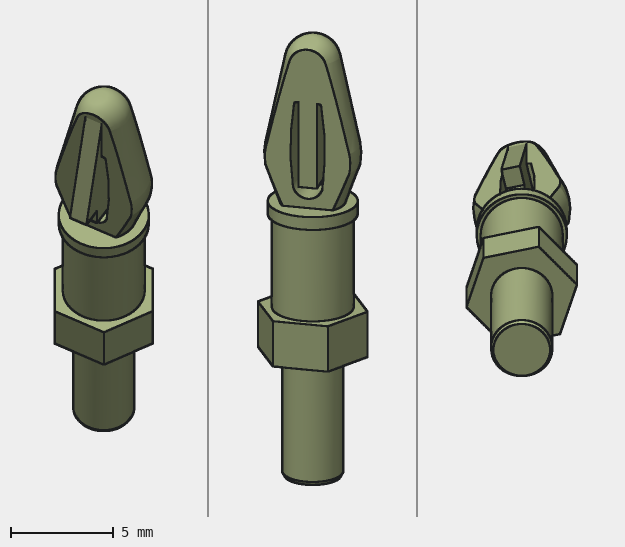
import cadquery as cq
import math

total_height = 23.05
hex_bottom = 6.43
hex_top = 8.8
collar_bottom = 13.66
collar_top = 14.33

pin_diameter = 3.0
pin_chamfer_height = 0.2
pin_chamfer_width = 0.12
hex_across_corners = 5.53
barrel_diameter = 4.0
collar_diameter = 4.4

blade_thickness = 2.0
dome_radius = 1.38
dome_seam_height = 21.93
neck_radius = 1.61
bulge_seam_radius = 2.33
bulge_radius = 2.37
bulge_bottom = 16.34
bulge_top = 17.33

slot_bottom = 14.81
slot_shoulder = 15.4
slot_shoulder_half_width = 0.74
slot_middle = 17.05
slot_middle_half_width = 0.865
slot_top = 19.81
slot_top_half_width = 0.67
slot_corner_radius = 0.14

tongue_width = 0.92
tongue_top = 22.19
tongue_reach = 2.5
tongue_ledge = 16.27
tongue_tip = 15.4
tongue_tip_reach = 1.47

blade_front = -blade_thickness / 2
blade_back = blade_thickness / 2


def cylinder(diameter, bottom, top):
    return cq.Workplane("XY").workplane(offset=bottom).circle(diameter / 2).extrude(top - bottom)


def make_shank():
    pin = cylinder(pin_diameter, 0, hex_bottom)
    pin = pin.faces("<Z").chamfer(pin_chamfer_height, pin_chamfer_width)
    hexagon = (
        cq.Workplane("XY")
        .workplane(offset=hex_bottom)
        .polygon(6, hex_across_corners)
        .extrude(hex_top - hex_bottom)
    )
    barrel = cylinder(barrel_diameter, hex_top, collar_bottom)
    collar = cylinder(collar_diameter, collar_bottom, collar_top)
    return pin.union(hexagon).union(barrel).union(collar)


def make_slot():
    profile = (
        cq.Workplane("XZ")
        .moveTo(-slot_top_half_width, slot_top)
        .lineTo(slot_top_half_width, slot_top)
        .threePointArc((slot_middle_half_width, slot_middle), (slot_shoulder_half_width, slot_shoulder))
        .threePointArc((0, slot_bottom), (-slot_shoulder_half_width, slot_shoulder))
        .threePointArc((-slot_middle_half_width, slot_middle), (-slot_top_half_width, slot_top))
        .close()
    )
    slot = profile.extrude(blade_thickness, both=True)
    top_corners = slot.faces(">Z").edges("|Y")
    return top_corners.fillet(slot_corner_radius)


def make_blade():
    dome_center = total_height - dome_radius
    dome_seam_radius = math.sqrt(dome_radius**2 - (dome_seam_height - dome_center) ** 2)
    dome_middle = dome_radius * math.sqrt(0.5)
    bulge_middle = (bulge_bottom + bulge_top) / 2
    turned = (
        cq.Workplane("XZ")
        .moveTo(0, collar_top)
        .lineTo(neck_radius, collar_top)
        .lineTo(bulge_seam_radius, bulge_bottom)
        .threePointArc((bulge_radius, bulge_middle), (bulge_seam_radius, bulge_top))
        .lineTo(dome_seam_radius, dome_seam_height)
        .threePointArc((dome_middle, dome_center + dome_middle), (0, total_height))
        .close()
        .revolve(360, (0, 0, 0), (0, 1, 0))
    )
    slab = cq.Workplane("XY").box(
        2 * bulge_radius, blade_thickness, total_height, centered=(True, True, False)
    )
    return turned.intersect(slab).cut(make_slot())


def make_tongue():
    return (
        cq.Workplane("YZ")
        .moveTo(blade_front, tongue_top)
        .lineTo(-tongue_reach, tongue_ledge)
        .lineTo(-tongue_tip_reach, tongue_ledge)
        .lineTo(-tongue_tip_reach, tongue_tip)
        .lineTo(blade_back, tongue_tip)
        .lineTo(blade_back, tongue_top)
        .close()
        .extrude(tongue_width / 2, both=True)
    )


result = make_shank().union(make_blade()).union(make_tongue())